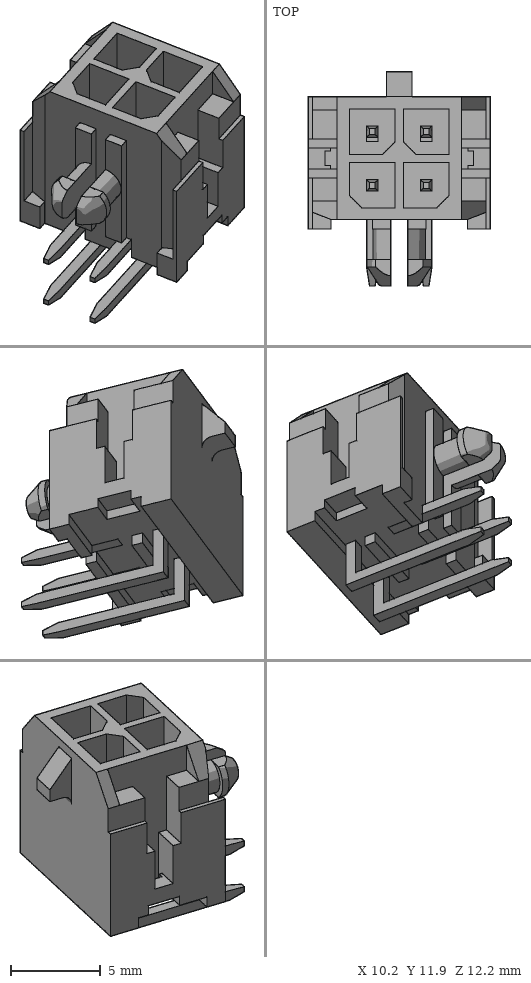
import cadquery as cq
import math


HEIGHT = 9.9
BACK_Y = 6.85
PAD_Y = -0.525
PLATE_HALF_WIDTH = 5.075
SIDE_HALF_WIDTH = 4.82
CORE_HALF_WIDTH = 3.455
FRONT_HALF_WIDTH = 3.78
PLATE_TOP = 6.73
SHOULDER_Z = 8.25
SIDE_SETBACK = 0.4
WEDGE_FRONT_LENGTH = 1.04
WEDGE_BACK_LENGTH = 0.74

SLOT_CENTER_Y = 3.41
SLOT_WIDTH = 2.18
SLOT_FLOOR = 4.72
LOWER_SLOT_WIDTH = 1.16
LOWER_SLOT_FLOOR = 2.23
RECESS_DEPTH = 0.5
RECESS_STEM_WIDTH = 0.8
RECESS_BAR_X = 3.82
RECESS_STEM_X = 4.13

PITCH = 3.0
PIN_SIZE = 0.64
TIP_SIZE = 0.32
TIP_LENGTH = 1.02
PIN_FRONT_Y = -3.7
PIN_TOP = 7.5
FRONT_PIN_Y = 1.905
BACK_PIN_Y = FRONT_PIN_Y + PITCH
BACK_LEG_Y = 4.665
STEP_TOP = 3.2
FRONT_TAIL_Z = 0.67
BACK_TAIL_Z = -2.34
PIN_COLUMNS = (-PITCH / 2, PITCH / 2)

FOOT_TOP = 1.6
FOOT_INNER_X = 3.8
UNDERSIDE_Z = FRONT_TAIL_Z
FRONT_WALL_THICKNESS = 0.65
BACK_WALL_Y = 5.04
SIDE_NOTCH_WIDTH = 2.0
SIDE_NOTCH_TOP = 1.256
CROSSBAR_HALF_LENGTH = (PITCH + PIN_SIZE) / 2
CROSSBAR_Y = 3.07
CROSSBAR_THICKNESS = 0.65

CAVITY_SIZE = 2.54
CAVITY_CORNER = 0.7
CAVITY_FLOOR = 2.6

SPLIT_HALF_GAP = 0.46
RIB_WIDTH = 1.04
RIB_TOP = 8.5
PEG_Z = 5.28
PEG_RADIUS = 1.01
PEG_HEAD_RADIUS = 1.33
PEG_NOSE_RADIUS = 0.73
PEG_TIP_RADIUS = 0.53
PEG_HEAD_Y = -2.23
PEG_CONE_Y = -2.63
PEG_NOSE_Y = -3.56

LATCH_WIDTH = 1.44
LATCH_Y = 8.25
LATCH_RAMP_TOP = 9.33
LATCH_RAMP_BOTTOM = 7.7
LATCH_BOTTOM = 6.93
LATCH_FILLET = 0.59


def block(x0, x1, y0, y1, z0, z1):
    """Box between opposite corners."""
    return cq.Workplane("XY").box(x1 - x0, y1 - y0, z1 - z0, centered=False).translate((x0, y0, z0))


def centered_block(half_width, y0, y1, z0, z1):
    """Box that is symmetric about the mirror plane."""
    return block(-half_width, half_width, y0, y1, z0, z1)


def both_sides(shape):
    """Shape together with its mirror image across X = 0."""
    return shape.union(shape.mirror("YZ"))


def make_body():
    """Centre block with chamfered shoulders and slanted front corners."""
    plan = (
        cq.Workplane("XY")
        .moveTo(-FRONT_HALF_WIDTH, 0)
        .lineTo(FRONT_HALF_WIDTH, 0)
        .lineTo(SIDE_HALF_WIDTH, SIDE_SETBACK)
        .lineTo(SIDE_HALF_WIDTH, BACK_Y)
        .lineTo(-SIDE_HALF_WIDTH, BACK_Y)
        .lineTo(-SIDE_HALF_WIDTH, SIDE_SETBACK)
        .close()
        .extrude(HEIGHT)
    )
    elevation = (
        cq.Workplane("XZ")
        .moveTo(-SIDE_HALF_WIDTH, 0)
        .lineTo(SIDE_HALF_WIDTH, 0)
        .lineTo(SIDE_HALF_WIDTH, SHOULDER_Z)
        .lineTo(CORE_HALF_WIDTH, HEIGHT)
        .lineTo(-CORE_HALF_WIDTH, HEIGHT)
        .lineTo(-SIDE_HALF_WIDTH, SHOULDER_Z)
        .close()
        .extrude(-BACK_Y)
    )
    return plan.intersect(elevation)


def make_side_plate_and_foot():
    """Thin outer plate on the +X side, with the foot that joins its front to the body."""
    plate = block(SIDE_HALF_WIDTH, PLATE_HALF_WIDTH, PAD_Y, BACK_Y, 0, PLATE_TOP)
    foot = block(FOOT_INNER_X, PLATE_HALF_WIDTH, PAD_Y, FRONT_WALL_THICKNESS, 0, FOOT_TOP)
    return plate.union(foot)


def side_cut(width, x_inner, x_outer, z0, z1):
    """Cutter on the +X side, centred along the side slot."""
    return block(x_inner, x_outer, SLOT_CENTER_Y - width / 2, SLOT_CENTER_Y + width / 2, z0, z1)


def make_side_cuts():
    """Shoulder gap, stepped slot, T-shaped recess and bottom notch of the +X side."""
    gap = block(
        CORE_HALF_WIDTH, PLATE_HALF_WIDTH,
        WEDGE_FRONT_LENGTH, BACK_Y - WEDGE_BACK_LENGTH,
        SHOULDER_Z, HEIGHT,
    )
    slot = side_cut(SLOT_WIDTH, CORE_HALF_WIDTH, PLATE_HALF_WIDTH, SLOT_FLOOR, HEIGHT)
    lower_slot = side_cut(LOWER_SLOT_WIDTH, CORE_HALF_WIDTH, PLATE_HALF_WIDTH, LOWER_SLOT_FLOOR, HEIGHT)
    recess_floor = LOWER_SLOT_FLOOR - RECESS_DEPTH
    recess_bar = side_cut(LOWER_SLOT_WIDTH, CORE_HALF_WIDTH, RECESS_BAR_X, recess_floor, LOWER_SLOT_FLOOR)
    recess_stem = side_cut(RECESS_STEM_WIDTH, CORE_HALF_WIDTH, RECESS_STEM_X, recess_floor, LOWER_SLOT_FLOOR)
    notch = side_cut(SIDE_NOTCH_WIDTH, FOOT_INNER_X, PLATE_HALF_WIDTH, 0, SIDE_NOTCH_TOP)
    return gap.union(slot).union(lower_slot).union(recess_bar).union(recess_stem).union(notch)


def make_underside_cut():
    """Hollow between the front and back walls, and the pin slots through the front wall."""
    cut = centered_block(PLATE_HALF_WIDTH, FRONT_WALL_THICKNESS, BACK_WALL_Y, 0, UNDERSIDE_Z)
    for x in PIN_COLUMNS:
        x0 = x - PIN_SIZE / 2
        cut = cut.union(block(x0, x0 + PIN_SIZE, 0, FRONT_WALL_THICKNESS, 0, UNDERSIDE_Z + PIN_SIZE))
    return cut


def make_crossbar():
    """Bar under the housing that spans both pin columns."""
    return centered_block(CROSSBAR_HALF_LENGTH, CROSSBAR_Y, CROSSBAR_Y + CROSSBAR_THICKNESS, 0, UNDERSIDE_Z)


def make_cavities():
    """Four contact cavities, each with one cut corner as a key."""
    def cavity(x, y, keyed_corner):
        return (
            cq.Workplane("XY")
            .workplane(offset=CAVITY_FLOOR)
            .center(x, y)
            .rect(CAVITY_SIZE, CAVITY_SIZE)
            .extrude(HEIGHT - CAVITY_FLOOR)
            .edges("|Z").edges(keyed_corner)
            .chamfer(CAVITY_CORNER)
        )

    front = cavity(PITCH / 2, FRONT_PIN_Y, ">X and <Y")
    back = cavity(PITCH / 2, BACK_PIN_Y, "<X and <Y")
    return both_sides(front.union(back))


def make_ribs():
    """Two upright ribs on the front wall."""
    rib = block(SPLIT_HALF_GAP, SPLIT_HALF_GAP + RIB_WIDTH, PAD_Y, 0, UNDERSIDE_Z + PIN_SIZE, RIB_TOP)
    return both_sides(rib)


def make_peg():
    """Split snap-in peg: two half-round prongs with barbed heads, flat above and below."""
    prong = (
        cq.Workplane("XY")
        .moveTo(0, 0)
        .lineTo(PEG_RADIUS, 0)
        .lineTo(PEG_RADIUS, PEG_HEAD_Y)
        .lineTo(PEG_HEAD_RADIUS, PEG_HEAD_Y)
        .lineTo(PEG_HEAD_RADIUS, PEG_CONE_Y)
        .lineTo(PEG_NOSE_RADIUS, PEG_NOSE_Y)
        .tangentArcPoint((PEG_TIP_RADIUS, PIN_FRONT_Y), relative=False)
        .lineTo(0, PIN_FRONT_Y)
        .close()
        .revolve(360, (0, 0), (0, 1))
        .intersect(block(0, PEG_HEAD_RADIUS, PIN_FRONT_Y, 0, -PEG_RADIUS, PEG_RADIUS))
        .translate((SPLIT_HALF_GAP, 0, PEG_Z))
    )
    return both_sides(prong)


def make_latch():
    """Ramped catch on the back wall, with a concave fillet under it."""
    arc_center_y = BACK_Y + LATCH_FILLET
    arc_center_z = LATCH_BOTTOM - LATCH_FILLET
    diagonal = LATCH_FILLET * math.sqrt(0.5)
    return (
        cq.Workplane("YZ")
        .moveTo(BACK_Y, LATCH_RAMP_TOP)
        .lineTo(LATCH_Y, LATCH_RAMP_BOTTOM)
        .lineTo(LATCH_Y, LATCH_BOTTOM)
        .lineTo(arc_center_y, LATCH_BOTTOM)
        .threePointArc((arc_center_y - diagonal, arc_center_z + diagonal), (BACK_Y, arc_center_z))
        .close()
        .extrude(LATCH_WIDTH / 2, both=True)
    )


def tapered_tip(plane):
    """Pyramid-shaped pin end that grows along the plane's normal."""
    angle = math.degrees(math.atan((PIN_SIZE - TIP_SIZE) / 2 / TIP_LENGTH))
    return plane.rect(PIN_SIZE, PIN_SIZE).extrude(TIP_LENGTH, taper=angle)


def make_pin(x, contact_y, leg_y, tail_z):
    """Square pin: contact pointing up, leg going down, tail pointing forward."""
    half = PIN_SIZE / 2
    x0 = x - half
    x1 = x + half
    contact_top = PIN_TOP - TIP_LENGTH
    tail_front = PIN_FRONT_Y + TIP_LENGTH
    step_bottom = STEP_TOP - PIN_SIZE
    contact = block(x0, x1, contact_y - half, contact_y + half, step_bottom, contact_top)
    leg = block(x0, x1, leg_y - half, leg_y + half, tail_z, STEP_TOP)
    tail = block(x0, x1, tail_front, leg_y + half, tail_z, tail_z + PIN_SIZE)
    contact_tip = tapered_tip(cq.Workplane("XY", origin=(x, contact_y, contact_top)))
    tail_tip = tapered_tip(cq.Workplane("XZ", origin=(x, tail_front, tail_z + half)))
    return contact.union(leg).union(tail).union(contact_tip).union(tail_tip).clean()


pins = []
for column_x in PIN_COLUMNS:
    pins.append(make_pin(column_x, FRONT_PIN_Y, FRONT_PIN_Y, FRONT_TAIL_Z))
    pins.append(make_pin(column_x, BACK_PIN_Y, BACK_LEG_Y, BACK_TAIL_Z))

housing = make_body().union(both_sides(make_side_plate_and_foot()))
housing = housing.cut(both_sides(make_side_cuts())).cut(make_underside_cut())
housing = housing.union(make_crossbar()).cut(make_cavities())
housing = housing.union(make_ribs()).union(make_peg()).union(make_latch())
for pin in pins:
    housing = housing.cut(pin)

result = cq.Compound.makeCompound([housing.val(), *[pin.val() for pin in pins]])